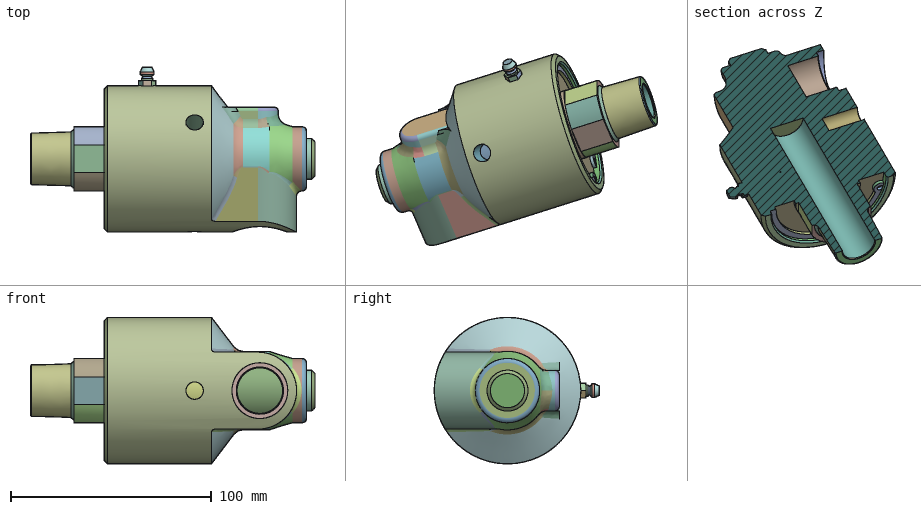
import cadquery as cq
import math

stem_tip_radius = 12.9
stem_root_radius = 13.5
stem_tip_chamfer = 0.5
stem_root_x = 20.1
stem_flare_radius = 14.7
square_start_x = 21.7
square_half_width = 16.0
square_corner_radius = 17.5
collar_start_x = 38.5
collar_radius = 17.6
bore_radius = 8.72
bore_chamfer = 0.4

body_start_x = 36.7
body_end_x = 90.1
body_radius = 36.49
body_chamfer = 1.7
cone_end_x = 103.0
neck_radius = 19.5
cone_fillet = 6.1
cone_slope = (body_radius - neck_radius) / (cone_end_x - body_end_x)

taper_start_x = 119.0
taper_end_x = 130.7
tail_radius = 16.0
tail_end_x = 137.5
tail_fillet = 2.3
plug_radius = 10.2
plug_chamfer = 1.7
overall_length = 141.7

recess_radius = 31.0
recess_chamfer = 0.9
ring_depth = 2.3
ring_thickness = 1.7
ring_inner_radius = 27.99
eyelet_radius = 3.4
eyelet_hole_radius = 1.4
eyelet_y = -28.3
eyelet_z = 8.5
ring_front_x = body_start_x + ring_depth
recess_floor_x = ring_front_x + ring_thickness

arm_end_x = 113.4
arm_half_width = 19.1
arm_fillet = 2.5
boss_half_width = 10.0
boss_top_y = 25.8
boss_top_fillet = 2.1
boss_fillet = 5.7
port_x = 114.2
port_radius = 11.3
port_chamfer = 0.4
port_rim_radius = 13.9
port_rim_floor_y = -32.6
port_floor_radius = 16.0

hole_radius = 4.32
hole_x = 81.8
hole_count = 3
hole_floor_radius = 17.5

nipple_x = 58.1
nipple_hex_flats = 7.5
nipple_hex_top_y = 39.0
nipple_shoulder_radius = 2.8
nipple_shoulder_y = 40.0
nipple_throat_radius = 2.1
nipple_throat_y = 41.0
nipple_head_radius = 3.5
nipple_head_y = 42.1
nipple_rim_y = 43.2
nipple_tip_radius = 2.4
nipple_tip_y = 45.7

oversize = 11.3
bar_reach = 42.5
bar_overlap = 9.9
touch_tolerance = 0.001


def x_cylinder(radius, start_x, end_x):
    return cq.Workplane("YZ", origin=(start_x, 0, 0)).circle(radius).extrude(end_x - start_x)


def y_cylinder(radius, x, start_y, end_y):
    plane = cq.Plane(origin=(x, start_y, 0), xDir=(1, 0, 0), normal=(0, 1, 0))
    return cq.Workplane(plane).circle(radius).extrude(end_y - start_y)


def revolve_about_x(points):
    return cq.Workplane("XY").polyline(points).close().revolve(360, (0, 0, 0), (1, 0, 0))


def make_cone_and_neck():
    start_x = body_end_x - oversize
    blank = revolve_about_x(
        [
            (start_x, 0),
            (start_x, body_radius + oversize * cone_slope),
            (cone_end_x, neck_radius),
            (taper_start_x, neck_radius),
            (taper_end_x, tail_radius),
            (tail_end_x, tail_radius),
            (tail_end_x, 0),
        ]
    )
    foot = cq.selectors.BoxSelector(
        (cone_end_x - 1.4, -body_radius, -body_radius),
        (cone_end_x + 1.4, body_radius, body_radius),
        boundingbox=True,
    )
    return blank.edges(foot).fillet(cone_fillet).faces(">X").edges().fillet(tail_fillet)


def make_side_bar(half_width, end_y):
    """Round-ended bar from inside the cone, standing out along Y from the main axis to end_y."""
    length = arm_end_x - body_end_x + bar_overlap
    middle = (arm_end_x - length / 2, end_y / 2, 0)
    bar = cq.Workplane("XY").box(length, abs(end_y), 2 * half_width).translate(middle)
    near_y, far_y = sorted((0, end_y))
    return bar.union(y_cylinder(half_width, arm_end_x, near_y, far_y))


def join_with_fillet(base, bar, radius):
    """Fuse a bar onto the base and round every edge where the two meet."""

    def at_joint(edge):
        middle = cq.Vertex.makeVertex(*edge.positionAt(0.5).toTuple())
        return max(base.val().distance(middle), bar.val().distance(middle)) < touch_tolerance

    joined = base.union(bar)
    joint_edges = [edge for edge in joined.edges().vals() if at_joint(edge)]
    return joined.newObject(joint_edges).fillet(radius)


def make_cone_with_boss():
    """Cone and neck with a tall bar blended in, which is then lowered to a round-edged top."""
    cone = make_cone_and_neck()
    tall_bar = make_side_bar(boss_half_width, bar_reach)
    boss = make_side_bar(boss_half_width, boss_top_y).faces(">Y").edges().fillet(boss_top_fillet)
    blend_bar = make_side_bar(boss_half_width + boss_fillet, bar_reach)
    above_top = blend_bar.cut(make_side_bar(boss_half_width + boss_fillet, boss_top_y))
    waste = tall_bar.cut(boss).union(above_top)
    return join_with_fillet(cone, tall_bar, boss_fillet).cut(waste).union(cone)


def make_housing():
    arm = make_side_bar(arm_half_width, -bar_reach)
    rear = join_with_fillet(make_cone_with_boss(), arm, arm_fillet)
    rear = rear.intersect(x_cylinder(body_radius, body_end_x, overall_length))
    body = x_cylinder(body_radius, body_start_x, body_end_x).faces("<X").chamfer(body_chamfer)
    plug = x_cylinder(plug_radius, tail_end_x, overall_length).faces(">X").chamfer(plug_chamfer)
    return body.union(rear).union(plug)


def make_recess():
    recess = x_cylinder(recess_radius, body_start_x, recess_floor_x)
    mouth = revolve_about_x(
        [
            (body_start_x, 0),
            (body_start_x, recess_radius + recess_chamfer),
            (body_start_x + recess_chamfer, recess_radius),
            (body_start_x + recess_chamfer, 0),
        ]
    )
    return recess.union(mouth)


def make_retaining_ring():
    eyelets = [(eyelet_y, eyelet_z), (eyelet_y, -eyelet_z)]
    front = cq.Workplane("YZ", origin=(ring_front_x, 0, 0))
    ring = front.circle(recess_radius).circle(ring_inner_radius).extrude(ring_thickness)
    gap = front.center(eyelet_y, 0).rect(2 * eyelet_radius * 2, 2 * eyelet_z).extrude(ring_thickness)
    lugs = front.pushPoints(eyelets).circle(eyelet_radius).extrude(ring_thickness)
    lugs = lugs.intersect(x_cylinder(recess_radius, ring_front_x, recess_floor_x))
    holes = front.pushPoints(eyelets).circle(eyelet_hole_radius).extrude(ring_thickness)
    return ring.cut(gap).union(lugs).cut(holes)


def make_stem():
    stem = revolve_about_x(
        [
            (0, 0),
            (0, stem_tip_radius - stem_tip_chamfer),
            (stem_tip_chamfer, stem_tip_radius),
            (stem_root_x, stem_root_radius),
            (square_start_x, stem_flare_radius),
            (square_start_x, 0),
        ]
    )
    collar = x_cylinder(collar_radius, collar_start_x, recess_floor_x)
    side = 2 * square_half_width
    length = collar_start_x - square_start_x
    square = cq.Workplane("YZ", origin=(square_start_x, 0, 0)).rect(side, side).extrude(length)
    square = square.intersect(x_cylinder(square_corner_radius, square_start_x, collar_start_x))
    return stem.union(square).union(collar)


def make_stem_bore():
    bore = x_cylinder(bore_radius, 0, body_end_x)
    lead_in = cq.Workplane("YZ").circle(bore_radius + bore_chamfer).extrude(2 * bore_chamfer, taper=45)
    return bore.union(lead_in)


def make_port():
    """Stepped hole through the arm; its floor is a cylinder about the main axis."""
    port = y_cylinder(port_radius, port_x, -body_radius, 0)
    rim = y_cylinder(port_rim_radius, port_x, -body_radius, port_rim_floor_y)
    lead_in = (
        cq.Workplane("XZ", origin=(port_x, port_rim_floor_y, 0))
        .circle(port_radius + port_chamfer)
        .extrude(-2 * port_chamfer, taper=45)
    )
    core = x_cylinder(port_floor_radius, 0, overall_length)
    return port.union(rim).union(lead_in).cut(core)


def make_radial_holes():
    core = x_cylinder(hole_floor_radius, 0, overall_length)
    hole = y_cylinder(hole_radius, hole_x, -body_radius, 0).cut(core)
    holes = hole
    for index in range(1, hole_count):
        angle = index * 360 / hole_count
        holes = holes.union(hole.rotate((0, 0, 0), (1, 0, 0), angle))
    return holes


def make_nipple():
    inner_y = body_radius - 1.4
    base = cq.Workplane(cq.Plane(origin=(nipple_x, inner_y, 0), xDir=(1, 0, 0), normal=(0, 1, 0)))
    hexagon = base.polygon(6, nipple_hex_flats / math.cos(math.pi / 6)).extrude(nipple_hex_top_y - inner_y)
    outline = [
        (0, inner_y),
        (nipple_shoulder_radius, inner_y),
        (nipple_shoulder_radius, nipple_shoulder_y),
        (nipple_throat_radius, nipple_throat_y),
        (nipple_head_radius, nipple_head_y),
        (nipple_head_radius, nipple_rim_y),
        (nipple_tip_radius, nipple_tip_y),
        (0, nipple_tip_y),
    ]
    spindle = cq.Workplane("XY").polyline(outline).close().revolve(360, (0, 0, 0), (0, 1, 0))
    return hexagon.union(spindle.translate((nipple_x, 0, 0)))


result = (
    make_housing()
    .cut(make_recess())
    .union(make_retaining_ring())
    .union(make_stem())
    .cut(make_stem_bore())
    .cut(make_port())
    .cut(make_radial_holes())
    .union(make_nipple())
)